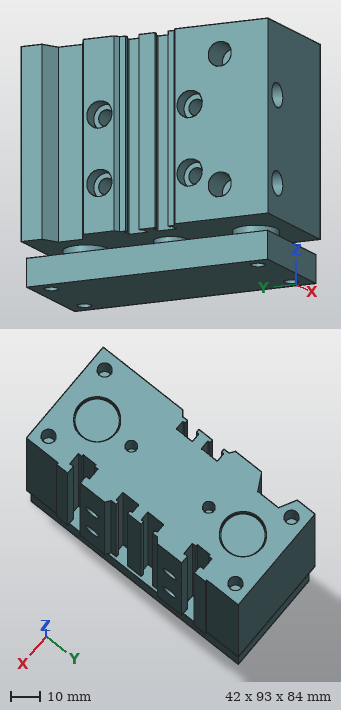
import cadquery as cq


PLATE_X = 38.0
PLATE_Y = 91.0
PLATE_THICKNESS = 10.1
PLATE_HOLE_DIAMETER = 5.0
PLATE_HOLE_X = 13.0
PLATE_HOLE_Y = 39.0
PISTON_ROD_DIAMETER = 12.0
GUIDE_ROD_DIAMETER = 16.0
GUIDE_ROD_Y = 32.0
GUIDE_ROD_RECESS = 1.5
GUIDE_ROD_CHAMFER = 0.5

TOTAL_HEIGHT = 84.0
GAP = 5.5
HOUSING_X = 42.0
HOUSING_Y = 93.0
HOUSING_BOTTOM = PLATE_THICKNESS + GAP
HOUSING_HEIGHT = TOTAL_HEIGHT - HOUSING_BOTTOM
SIDE_X = HOUSING_X / 2

END_STEP_DEPTH = 0.7
END_STEP_Y = 32.6

TROUGH_DEPTH = 1.9
TROUGH_MOUTH_HALF = 11.5
TROUGH_FLOOR_HALF = 10.2
TROUGH_FLOOR_X = SIDE_X - TROUGH_DEPTH

SENSOR_SLOT_Y = 5.5
SENSOR_MOUTH_WIDTH = 5.0
SENSOR_INNER_WIDTH = 7.0
SENSOR_LIP_X = 17.9
SENSOR_FLOOR_X = 14.4

T_SLOT_Y = 25.0
T_SLOT_MOUTH_WIDTH = 5.5
T_SLOT_INNER_WIDTH = 8.6
T_SLOT_LIP_X = 17.95
T_SLOT_FLOOR_X = 13.4
T_SLOT_RELIEF_X = 12.65

NOTCH_Y = 30.9
NOTCH_MOUTH_HALF = 7.8
NOTCH_FLOOR_HALF = 4.6
NOTCH_FLOOR_X = 14.9

CORNER_HOLE_DIAMETER = 5.0
CORNER_HOLE_X = 15.1
CORNER_HOLE_Y = 41.0
TOP_PORT_DIAMETER = 4.2
TOP_PORT_Y = 17.0
TOP_HOLE_DEPTH = 11.2

MOUNT_HOLE_DIAMETER = 5.8
MOUNT_COUNTERBORE_DIAMETER = 9.5
MOUNT_COUNTERBORE_DEPTH = 5.5
MOUNT_HOLE_Y = 17.0
MOUNT_HOLE_HEIGHTS = (33.0, 57.0)

PORT_DIAMETER = 8.65
PORT_DEPTH = 11.2
SIDE_PORT_Y = -28.4
SIDE_PORT_HEIGHTS = (27.6, 73.4)
END_PORT_X = -13.6
END_PORT_HEIGHTS = (27.7, 58.6)

BOTH = (-1, 1)


def vertical_prism(points):
    """Prism over the full housing height on a closed XY outline."""
    base = cq.Workplane("XY").workplane(offset=HOUSING_BOTTOM)
    return base.polyline(points).close().extrude(HOUSING_HEIGHT)


def vertical_slot(side, depth_from, depth_to, y, width):
    """Rectangular slot on the given X side, between two distances from X = 0."""
    return vertical_prism([
        (side * depth_from, y - width / 2),
        (side * depth_to, y - width / 2),
        (side * depth_to, y + width / 2),
        (side * depth_from, y + width / 2),
    ])


def tapered_groove(side, floor_x, y, mouth_half, floor_half):
    """Trapezoidal groove with its wide mouth on the outer side face."""
    return vertical_prism([
        (side * SIDE_X, y - mouth_half),
        (side * floor_x, y - floor_half),
        (side * floor_x, y + floor_half),
        (side * SIDE_X, y + mouth_half),
    ])


def vertical_cylinder(diameter, x, y, bottom, top):
    base = cq.Workplane("XY").workplane(offset=bottom).center(x, y)
    return base.circle(diameter / 2).extrude(top - bottom)


def x_cylinder(diameter, y, z, length):
    """Cylinder running along +X from the -X side face."""
    base = cq.Workplane("YZ").workplane(offset=-SIDE_X).center(y, z)
    return base.circle(diameter / 2).extrude(length)


def cut_side_grooves(body):
    """Trough and sensor slots on both sides, and the notch on the -X side."""
    for side in BOTH:
        body = body.cut(tapered_groove(side, TROUGH_FLOOR_X, 0, TROUGH_MOUTH_HALF, TROUGH_FLOOR_HALF))
        for end in BOTH:
            y = end * SENSOR_SLOT_Y
            body = body.cut(vertical_slot(side, SENSOR_LIP_X, SIDE_X, y, SENSOR_MOUTH_WIDTH))
            body = body.cut(vertical_slot(side, SENSOR_FLOOR_X, SENSOR_LIP_X, y, SENSOR_INNER_WIDTH))
    return body.cut(tapered_groove(-1, NOTCH_FLOOR_X, NOTCH_Y, NOTCH_MOUTH_HALF, NOTCH_FLOOR_HALF))


def cut_t_slots_and_steps(body):
    """T-slots and shallow end steps on the +X side."""
    step_width = HOUSING_Y / 2 - END_STEP_Y
    step_y = END_STEP_Y + step_width / 2
    for end in BOTH:
        y = end * T_SLOT_Y
        body = body.cut(vertical_slot(1, T_SLOT_RELIEF_X, SIDE_X, y, T_SLOT_MOUTH_WIDTH))
        body = body.cut(vertical_slot(1, T_SLOT_FLOOR_X, T_SLOT_LIP_X, y, T_SLOT_INNER_WIDTH))
        body = body.cut(vertical_slot(1, SIDE_X - END_STEP_DEPTH, SIDE_X, end * step_y, step_width))
    return body


def cut_top_holes(body):
    """Guide rod bores, blind corner holes and blind ports in the top face."""
    hole_bottom = TOTAL_HEIGHT - TOP_HOLE_DEPTH
    for end in BOTH:
        body = body.cut(
            vertical_cylinder(GUIDE_ROD_DIAMETER, 0, end * GUIDE_ROD_Y, HOUSING_BOTTOM, TOTAL_HEIGHT)
        )
        body = body.cut(
            vertical_cylinder(TOP_PORT_DIAMETER, 0, end * TOP_PORT_Y, hole_bottom, TOTAL_HEIGHT)
        )
        for side in BOTH:
            x = side * CORNER_HOLE_X
            y = end * CORNER_HOLE_Y
            body = body.cut(vertical_cylinder(CORNER_HOLE_DIAMETER, x, y, hole_bottom, TOTAL_HEIGHT))
    return body


def cut_mounting_holes(body):
    """Through holes along X, counterbored from the -X side."""
    for z in MOUNT_HOLE_HEIGHTS:
        for end in BOTH:
            y = end * MOUNT_HOLE_Y
            body = body.cut(x_cylinder(MOUNT_HOLE_DIAMETER, y, z, HOUSING_X))
            body = body.cut(x_cylinder(MOUNT_COUNTERBORE_DIAMETER, y, z, MOUNT_COUNTERBORE_DEPTH))
    return body


def cut_ports(body):
    """Blind air ports in the -X side and the -Y end."""
    for z in SIDE_PORT_HEIGHTS:
        body = body.cut(x_cylinder(PORT_DIAMETER, SIDE_PORT_Y, z, PORT_DEPTH))
    for z in END_PORT_HEIGHTS:
        base = cq.Workplane("XZ").workplane(offset=HOUSING_Y / 2).center(END_PORT_X, z)
        body = body.cut(base.circle(PORT_DIAMETER / 2).extrude(-PORT_DEPTH))
    return body


def make_housing():
    body = cq.Workplane("XY").workplane(offset=HOUSING_BOTTOM).rect(HOUSING_X, HOUSING_Y)
    body = body.extrude(HOUSING_HEIGHT)
    body = cut_side_grooves(body)
    body = cut_t_slots_and_steps(body)
    body = cut_top_holes(body)
    body = cut_mounting_holes(body)
    return cut_ports(body)


def make_guide_rod(y):
    """Rod standing on the plate, its chamfered tip just below the housing top."""
    tip = TOTAL_HEIGHT - GUIDE_ROD_RECESS
    rod = vertical_cylinder(GUIDE_ROD_DIAMETER, 0, y, PLATE_THICKNESS, tip)
    return rod.faces(">Z").chamfer(GUIDE_ROD_CHAMFER)


def make_moving_plate():
    """Plate with its corner holes, the two guide rods and the piston rod up to the housing."""
    plate = cq.Workplane("XY").rect(PLATE_X, PLATE_Y).extrude(PLATE_THICKNESS)
    holes = cq.Workplane("XY").rect(2 * PLATE_HOLE_X, 2 * PLATE_HOLE_Y, forConstruction=True).vertices()
    plate = plate.cut(holes.circle(PLATE_HOLE_DIAMETER / 2).extrude(PLATE_THICKNESS))
    for end in BOTH:
        plate = plate.union(make_guide_rod(end * GUIDE_ROD_Y))
    return plate.union(vertical_cylinder(PISTON_ROD_DIAMETER, 0, 0, PLATE_THICKNESS, HOUSING_BOTTOM))


housing = make_housing()
moving_plate = make_moving_plate()

result = cq.Compound.makeCompound([housing.solids().val(), moving_plate.solids().val()])